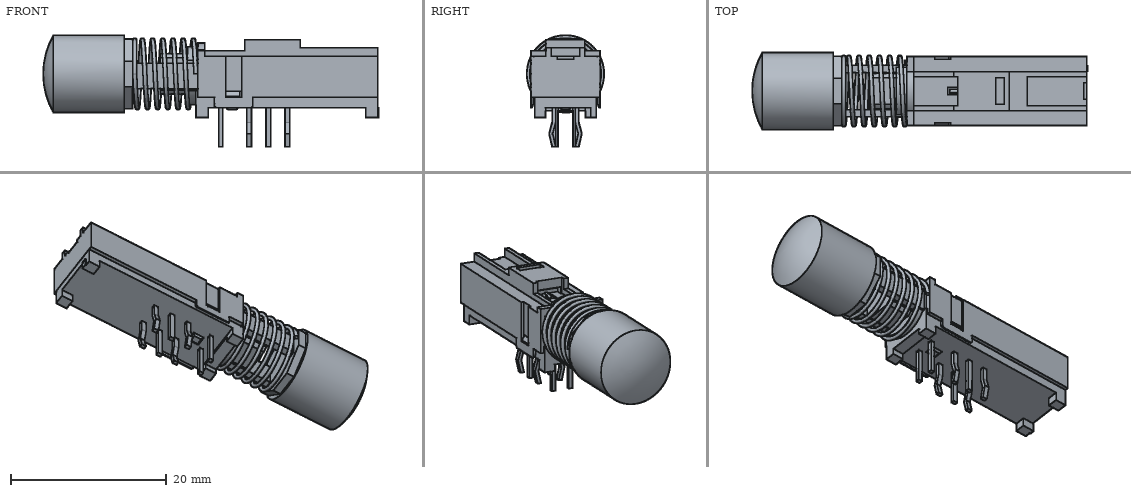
import cadquery as cq
import math


CAP_DIAMETER = 10.0
CAP_RADIUS = CAP_DIAMETER / 2
DOME_RADIUS = CAP_DIAMETER
CAP_REAR = 10.48

COLLAR_HALF = 4.5
COLLAR_FLAT_HALF = 1.65
COLLAR_REAR = 11.55
ARM_INNER = 2.4
ARM_OUTER = 3.35
ARM_TOP = 1.4
ARM_BOTTOM = -1.9
ARM_END = 22.5

WIRE_DIAMETER = 0.5
COIL_OUTER_DIAMETER = 9.2
COIL_RADIUS = (COIL_OUTER_DIAMETER - WIRE_DIAMETER) / 2
SPRING_TURNS = 6

HOLDER_FRONT = 15.1
HOLDER_HALF_WIDTH = 2.3
HOLDER_HALF_HEIGHT = 2.6
HOLDER_CORNER_DIAMETER = 6.25

COVER_FRONT = 19.95
COVER_REAR = 43.15
COVER_HALF = 4.45
WALL = 0.7
TONGUE_THICKNESS = WALL / 2
CAVITY_HALF = COVER_HALF - WALL
RECESS_FLOOR = COVER_HALF - TONGUE_THICKNESS
REAR_WALL = 0.4
SHOULDER_TOP = 2.25
ROOF = 0.4
ROOF_BOTTOM = SHOULDER_TOP - ROOF
COVER_BOTTOM = -3.05
FRONT_RIB_REAR = 20.85
RAIL_HALF = 2.5
LOW_RAIL_TOP = 3.0
HUMP_FRONT = 25.97
HUMP_REAR = 33.15
HUMP_TOP = 4.4
REAR_RAIL_TOP = 3.38
POCKET_HALF = 1.85
FRONT_POCKET_REAR = 26.5
REAR_POCKET_FRONT = 35.5
SLOT_FRONT = 31.45
SLOT_REAR = 32.5
SLOT_HALF = 1.7
REAR_NOTCH_HALF = 1.05
HOOK_RECESS_FRONT = 25.25
HOOK_RECESS_HALF = 0.48
HOOK_RECESS_DEPTH = 0.25
HOOK_DIAMETER = 0.5
HOOK_FRONT = 25.5
HOOK_DROP = 0.1
TUNNEL_TOP = 3.15
TUNNEL_STEP_FRONT = 27.35
TUNNEL_STEP_TOP = 2.75
SEAT_DIAMETER = 8.0

TONGUE_FRONT = 22.08
TONGUE_REAR = 27.05
TONGUE_CORNER = 0.2
TONGUE_TIP_THICKNESS = 0.15
TONGUE_TAPER = 0.5
WINDOW_FRONT = 23.55
WINDOW_REAR = 25.6
LATCH_LENGTH = 1.77
LATCH_TOP = -2.2
LATCH_EDGE = -2.85

BASE_FRONT = 19.7
BASE_HALF = 4.0
BASE_BOTTOM = -4.37
LIP_TOP = -2.15
FOOT_INNER = 2.55
FOOT_LENGTH = 1.6
FOOT_BOTTOM = -5.63
CROSSBAR_BOTTOM = -4.75
NUB_REAR = 43.3
NUB_OUTER = 3.25
PAD_FRONT = 23.6
PAD_LENGTH = 1.55
PAD_HALF_WIDTH = 0.7
PAD_DEPTH = 0.25
PAD_TAPER = 45
NOSE_FRONT = 18.6
NOSE_DIAMETER = 7.05
ARM_SLOT_TOP = 1.77
ARM_SLOT_BOTTOM = -2.08

OVERALL_HEIGHT = 14.4
PIN_BOTTOM = CAP_RADIUS - OVERALL_HEIGHT
TERMINAL_FRONTS = (26.25, 28.7, 31.15)
STRAIGHT_TERMINAL = 1
TERMINAL_WIDTH = 0.65
TERMINAL_OUTER = 1.75
TERMINAL_THICKNESS = 0.48
KINK_TOP = -6.25
KINK_MIDDLE = -7.7
KINK_OFFSET = 0.4
LEAD_FRONT = 22.65
LEAD_WIDTH = 0.5
LEAD_INNER = 0.95
LEAD_TOP = -3.45


def block(x_range, y_range, z_range):
    """Box between the given limits along X, Y and Z."""
    size = [high - low for low, high in (x_range, y_range, z_range)]
    corner = (x_range[0], y_range[0], z_range[0])
    return cq.Workplane("XY").box(*size, centered=False).translate(corner)


def centred_block(x_range, half_width, z_range):
    """Box symmetric about the plane Y = 0."""
    return block(x_range, (-half_width, half_width), z_range)


def rod(x_front, x_rear, diameter):
    """Cylinder around the button axis."""
    return cq.Workplane("YZ", origin=(x_front, 0, 0)).circle(diameter / 2).extrude(x_rear - x_front)


def both_sides(solid):
    """The solid together with its mirror image on the other side of Y = 0."""
    return solid.union(solid.mirror("XZ"))


def make_cap():
    dome_height = DOME_RADIUS - math.sqrt(DOME_RADIUS**2 - CAP_RADIUS**2)
    half_angle = math.asin(CAP_RADIUS / DOME_RADIUS) / 2
    dome_mid = (DOME_RADIUS * (1 - math.cos(half_angle)), DOME_RADIUS * math.sin(half_angle))
    profile = (
        cq.Workplane("XY")
        .threePointArc(dome_mid, (dome_height, CAP_RADIUS))
        .lineTo(CAP_REAR, CAP_RADIUS)
        .lineTo(CAP_REAR, 0)
        .close()
    )
    return profile.revolve(360, (0, 0, 0), (1, 0, 0))


def make_arms():
    arm = block((COLLAR_REAR, ARM_END), (ARM_INNER, ARM_OUTER), (ARM_BOTTOM, ARM_TOP))
    return both_sides(arm)


def make_plunger():
    collar = (
        centred_block((CAP_REAR, COLLAR_REAR), COLLAR_HALF, (-COLLAR_HALF, COLLAR_HALF))
        .edges("|X")
        .chamfer(COLLAR_HALF - COLLAR_FLAT_HALF)
    )
    return collar.union(make_arms())


def make_spring():
    """A flat half turn against the collar, then coils running on to the front of the cover."""
    wire_radius = WIRE_DIAMETER / 2
    start = COLLAR_REAR + wire_radius
    rise = COVER_FRONT - wire_radius - start
    helix = cq.Wire.makeHelix(rise / SPRING_TURNS, rise, COIL_RADIUS)
    coils = cq.Workplane("XZ", origin=(COIL_RADIUS, 0, 0)).circle(wire_radius).sweep(helix, isFrenet=True)
    flat_turn = (
        cq.Workplane("XZ", origin=(COIL_RADIUS, 0, 0))
        .circle(wire_radius)
        .revolve(180, (-COIL_RADIUS, 0, 0), (-COIL_RADIUS, -1, 0))
    )
    spring = coils.union(flat_turn)
    along_x = spring.rotate((0, 0, 0), (0, 1, 0), 90).rotate((0, 0, 0), (1, 0, 0), -90)
    return along_x.translate((start, 0, 0))


def make_lamp_holder():
    """Rectangular bar with corners rounded around the button axis."""
    holder = centred_block(
        (HOLDER_FRONT, COVER_FRONT), HOLDER_HALF_WIDTH, (-HOLDER_HALF_HEIGHT, HOLDER_HALF_HEIGHT)
    )
    return holder.intersect(rod(HOLDER_FRONT, COVER_FRONT, HOLDER_CORNER_DIAMETER))


def make_tongue():
    """Snap tongue on the +Y side, thinned on its inner face towards the tip."""
    tongue = (
        cq.Workplane("YZ", origin=(TONGUE_FRONT, 0, 0))
        .moveTo(RECESS_FLOOR, COVER_BOTTOM)
        .lineTo(COVER_HALF, COVER_BOTTOM)
        .lineTo(COVER_HALF, BASE_BOTTOM)
        .lineTo(COVER_HALF - TONGUE_TIP_THICKNESS, BASE_BOTTOM)
        .lineTo(RECESS_FLOOR, BASE_BOTTOM + TONGUE_TAPER)
        .close()
        .extrude(TONGUE_REAR - TONGUE_FRONT)
    )
    return tongue.faces("<Z").edges("|Y").chamfer(TONGUE_CORNER)


def make_cover():
    cover = centred_block((COVER_FRONT, COVER_REAR), COVER_HALF, (COVER_BOTTOM, SHOULDER_TOP))

    rib_span = (COVER_FRONT, FRONT_RIB_REAR)
    cover = cover.union(centred_block(rib_span, COVER_HALF, (SHOULDER_TOP, LOW_RAIL_TOP)))
    crest = rod(*rib_span, SEAT_DIAMETER).intersect(
        centred_block(rib_span, RAIL_HALF, (SHOULDER_TOP, SEAT_DIAMETER))
    )
    cover = cover.union(crest)

    for x_range, top in (
        ((FRONT_RIB_REAR, HUMP_FRONT), LOW_RAIL_TOP),
        ((HUMP_FRONT, HUMP_REAR), HUMP_TOP),
        ((HUMP_REAR, COVER_REAR), REAR_RAIL_TOP),
    ):
        cover = cover.union(centred_block(x_range, RAIL_HALF, (SHOULDER_TOP, top)))

    cavity = centred_block((COVER_FRONT, COVER_REAR - REAR_WALL), CAVITY_HALF, (COVER_BOTTOM, ROOF_BOTTOM))
    cover = cover.cut(cavity)
    for x_range, half_width, bottom in (
        ((FRONT_RIB_REAR, FRONT_POCKET_REAR), POCKET_HALF, SHOULDER_TOP),
        ((REAR_POCKET_FRONT, COVER_REAR), POCKET_HALF, SHOULDER_TOP),
        ((SLOT_FRONT, SLOT_REAR), SLOT_HALF, SHOULDER_TOP),
        ((COVER_REAR - REAR_WALL, COVER_REAR), REAR_NOTCH_HALF, ROOF_BOTTOM),
        ((HOOK_RECESS_FRONT, FRONT_POCKET_REAR), HOOK_RECESS_HALF, SHOULDER_TOP - HOOK_RECESS_DEPTH),
    ):
        cover = cover.cut(centred_block(x_range, half_width, (bottom, HUMP_TOP)))

    tunnel = centred_block((FRONT_POCKET_REAR, SLOT_FRONT), SLOT_HALF, (TUNNEL_STEP_TOP, TUNNEL_TOP))
    tunnel_mouth = centred_block(
        (FRONT_POCKET_REAR, TUNNEL_STEP_FRONT), SLOT_HALF, (SHOULDER_TOP, TUNNEL_TOP)
    )
    cover = cover.cut(tunnel).cut(tunnel_mouth)
    hook = rod(HOOK_FRONT, TUNNEL_STEP_FRONT, HOOK_DIAMETER)
    cover = cover.union(hook.translate((0, 0, SHOULDER_TOP - HOOK_DROP)))

    cover = cover.union(both_sides(make_tongue()))
    window_span = (WINDOW_FRONT, WINDOW_REAR)
    recess = block(window_span, (RECESS_FLOOR, COVER_HALF), (COVER_BOTTOM, SHOULDER_TOP))
    opening = block(window_span, (CAVITY_HALF, COVER_HALF), (COVER_BOTTOM, LATCH_TOP))
    return cover.cut(both_sides(recess.union(opening)))


def make_latch():
    """Latch on the +Y side, with a sloping upper face."""
    return (
        cq.Workplane("YZ", origin=(WINDOW_FRONT, 0, 0))
        .moveTo(CAVITY_HALF, LATCH_TOP)
        .lineTo(RECESS_FLOOR, LATCH_TOP)
        .lineTo(COVER_HALF, LATCH_EDGE)
        .lineTo(COVER_HALF, COVER_BOTTOM)
        .lineTo(CAVITY_HALF, COVER_BOTTOM)
        .close()
        .extrude(LATCH_LENGTH)
    )


def make_terminal(x_front, kinked):
    """Flat terminal on the +Y side. A kinked one bows outwards halfway down."""
    inner = TERMINAL_OUTER - TERMINAL_THICKNESS
    offset = KINK_OFFSET if kinked else 0
    return (
        cq.Workplane("YZ", origin=(x_front, 0, 0))
        .moveTo(inner, BASE_BOTTOM)
        .lineTo(TERMINAL_OUTER, BASE_BOTTOM)
        .lineTo(TERMINAL_OUTER, KINK_TOP)
        .lineTo(TERMINAL_OUTER + offset, KINK_MIDDLE)
        .lineTo(TERMINAL_OUTER, PIN_BOTTOM)
        .lineTo(inner, PIN_BOTTOM)
        .lineTo(inner + offset, KINK_MIDDLE)
        .lineTo(inner, KINK_TOP)
        .close()
        .extrude(TERMINAL_WIDTH)
    )


def make_spring_seat():
    """Round nose inside the spring end, with a wider lip below and side slots for the arms."""
    ring = rod(NOSE_FRONT, COVER_FRONT, NOSE_DIAMETER)
    lip = rod(NOSE_FRONT, COVER_FRONT, SEAT_DIAMETER).intersect(
        centred_block((NOSE_FRONT, COVER_FRONT), NOSE_DIAMETER / 2, (-SEAT_DIAMETER, LIP_TOP))
    )
    arm_slot = block(
        (NOSE_FRONT, COVER_FRONT),
        (ARM_INNER, SEAT_DIAMETER / 2),
        (ARM_SLOT_BOTTOM, ARM_SLOT_TOP),
    )
    return ring.union(lip).cut(both_sides(arm_slot))


def make_base(plunger, lamp_holder, leads):
    core = centred_block((COVER_FRONT, COVER_REAR - REAR_WALL), CAVITY_HALF, (COVER_BOTTOM, ROOF_BOTTOM))
    skirt = centred_block((BASE_FRONT, COVER_REAR), BASE_HALF, (BASE_BOTTOM, COVER_BOTTOM))
    front_lip = centred_block((BASE_FRONT, COVER_FRONT), BASE_HALF, (COVER_BOTTOM, LIP_TOP))
    base = core.union(skirt).union(front_lip).union(make_spring_seat())
    base = base.union(both_sides(make_latch()))

    front_foot = (BASE_FRONT, BASE_FRONT + FOOT_LENGTH)
    rear_foot = (COVER_REAR - FOOT_LENGTH, COVER_REAR)
    for x_range in (front_foot, rear_foot):
        foot = block(x_range, (FOOT_INNER, BASE_HALF), (FOOT_BOTTOM, BASE_BOTTOM))
        base = base.union(both_sides(foot))
    base = base.union(centred_block(front_foot, FOOT_INNER, (CROSSBAR_BOTTOM, BASE_BOTTOM)))
    base = base.union(block((COVER_REAR, NUB_REAR), (FOOT_INNER, NUB_OUTER), (FOOT_BOTTOM, BASE_BOTTOM)))

    pad = (
        cq.Workplane("XY", origin=(PAD_FRONT + PAD_LENGTH / 2, 0, BASE_BOTTOM))
        .rect(PAD_LENGTH, 2 * PAD_HALF_WIDTH)
        .extrude(-PAD_DEPTH, taper=PAD_TAPER)
    )
    base = base.union(pad)

    for index, x_front in enumerate(TERMINAL_FRONTS):
        base = base.union(both_sides(make_terminal(x_front, kinked=index != STRAIGHT_TERMINAL)))

    for inserted in (plunger, lamp_holder, *leads):
        base = base.cut(inserted)
    return base


def make_lead(side):
    """Square lamp lead on the side of Y given by the sign."""
    middle = side * (LEAD_INNER + LEAD_WIDTH / 2)
    y_range = (middle - LEAD_WIDTH / 2, middle + LEAD_WIDTH / 2)
    return block((LEAD_FRONT, LEAD_FRONT + LEAD_WIDTH), y_range, (PIN_BOTTOM, LEAD_TOP))


cap = make_cap()
plunger = make_plunger()
spring = make_spring()
lamp_holder = make_lamp_holder()
cover = make_cover()
leads = [make_lead(side) for side in (-1, 1)]
base = make_base(plunger, lamp_holder, leads)

result = cq.Compound.makeCompound(
    [
        cap.val(),
        plunger.val(),
        spring.val(),
        lamp_holder.val(),
        cover.val(),
        base.val(),
        *[lead.val() for lead in leads],
    ]
)